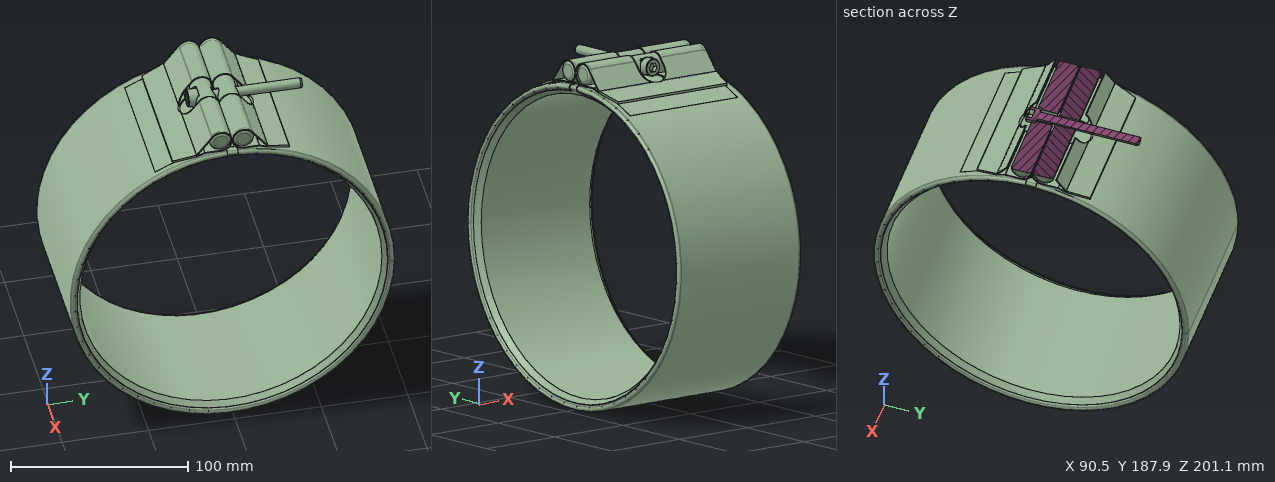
import cadquery as cq
import math


sheet = 0.5
width = 90.5
bore_radius = 174.8 / 2
band_inner_radius = 186.9 / 2
band_radius = band_inner_radius + sheet

hem_radius = 1.8
hem_angle = math.radians(50)
hem_leg = 1.5

gap = 6.2
tongue_width = 79.0
tongue_start_y = 9.3
tongue_end_y = -43.9
tongue_clearance = 0.1
tongue_radius = band_inner_radius - tongue_clearance

rod_radius = 6.0
rod_y = 6.6
rod_z = 100.5
rod_fillet = 2.0
clamp_width = 86.5
lug_sheet = 0.6
loop_radius = rod_radius + lug_sheet

flange_angle = math.radians(19)
fold_y = 20.7
flange_end_y = 33.8
flange_end_width = 80.0
window_width = 18.5
window_overrun = 0.8

bolt_diameter = 5.8
bolt_tip_y = 49.7
tip_chamfer_length = 1.0
tip_chamfer_depth = 0.5
head_diameter = 10.0
head_height = 6.2
head_chamfer = 0.5
socket_flats = 5.0
socket_depth = 3.0
head_hole_diameter = 8.9
tail_hole_diameter = 7.0
spotface_diameter = 12.0
spotface_offset = 3.8
head_seat_y = -rod_y - spotface_offset

above_all = rod_z + 2 * loop_radius


def revolve_about_x(profile):
    return profile.close().revolve(360, (0, 0, 0), (1, 0, 0))


def block_x(points, length):
    """Prism along X, centred on X = 0, from (y, z) points."""
    return cq.Workplane("YZ").polyline(points).close().extrude(length / 2, both=True)


def cylinder_y(diameter, start_y, end_y):
    """Cylinder along Y at the height of the rods."""
    return (
        cq.Workplane("XZ", origin=(0, start_y, rod_z))
        .circle(diameter / 2)
        .extrude(start_y - end_y)
    )


def ring_sector(inner, outer, start_y, end_y):
    """Curved plate as wide as the tongue, cut radially at two Y positions on the band bore."""
    ring = cq.Workplane("YZ").circle(outer).circle(inner).extrude(tongue_width / 2, both=True)
    reach = above_all / band_inner_radius
    corners = [(y * reach, math.sqrt(band_inner_radius**2 - y**2) * reach) for y in (start_y, end_y)]
    return ring.intersect(block_x([(0, 0)] + corners, tongue_width))


hem_x = -width / 2 + hem_radius
hem_r = band_radius - hem_radius


def hem_point(radius, angle, along=0.0):
    """Point on the bend, `angle` beyond its outermost point, then `along` the straight leg."""
    x = hem_x - radius * math.cos(angle) + along * math.sin(angle)
    r = hem_r - radius * math.sin(angle) - along * math.cos(angle)
    return x, r


def mirrored(point):
    return -point[0], point[1]


inner_bend = hem_radius - sheet
bend_crown = hem_point(inner_bend, 0)
bend_end = hem_point(inner_bend, hem_angle)


def make_band():
    leg_inside = hem_point(inner_bend, hem_angle, hem_leg)
    leg_outside = hem_point(hem_radius, hem_angle, hem_leg)
    outer_crown = hem_point(hem_radius, 0)
    outer_end = hem_point(hem_radius, hem_angle)
    profile = (
        cq.Workplane("XY")
        .moveTo(hem_x, band_radius)
        .threePointArc(outer_crown, outer_end)
        .lineTo(*leg_outside)
        .lineTo(*leg_inside)
        .lineTo(*bend_end)
        .threePointArc(bend_crown, (hem_x, band_inner_radius))
        .lineTo(-hem_x, band_inner_radius)
        .threePointArc(mirrored(bend_crown), mirrored(bend_end))
        .lineTo(*mirrored(leg_inside))
        .lineTo(*mirrored(leg_outside))
        .lineTo(*mirrored(outer_end))
        .threePointArc(mirrored(outer_crown), (-hem_x, band_radius))
    )
    split = cq.Workplane("XY").box(width, gap, above_all, centered=(True, True, False))
    tongue = ring_sector(tongue_radius - sheet, tongue_radius, tongue_start_y, tongue_end_y)
    weld = ring_sector(tongue_radius - sheet, band_inner_radius, tongue_start_y, gap / 2)
    return revolve_about_x(profile).cut(split).union(tongue).union(weld)


def make_sleeve():
    cone_length = (bend_end[1] - bore_radius) / math.cos(hem_angle)
    cone_end = hem_point(inner_bend, hem_angle, cone_length)
    profile = (
        cq.Workplane("XY")
        .moveTo(hem_x, band_inner_radius)
        .threePointArc(bend_crown, bend_end)
        .lineTo(*cone_end)
        .lineTo(*mirrored(cone_end))
        .lineTo(*mirrored(bend_end))
        .threePointArc(mirrored(bend_crown), (-hem_x, band_inner_radius))
    )
    tongue_pocket = ring_sector(tongue_radius - sheet, band_inner_radius, tongue_start_y, tongue_end_y)
    return revolve_about_x(profile).cut(tongue_pocket)


def flange_z(distance, y):
    """Height at y of the flange plane that lies `distance` from the ring axis."""
    return (distance - y * math.sin(flange_angle)) / math.cos(flange_angle)


def flange_y(distance, z):
    return (distance - z * math.cos(flange_angle)) / math.sin(flange_angle)


def make_lug():
    """Lug on the +Y side: two flange sheets that part into a slope and a loop round the rod."""
    bottom = band_radius
    middle = bottom + lug_sheet
    top = middle + lug_sheet

    fold = (fold_y, flange_z(top, fold_y))
    dy = fold[0] - rod_y
    dz = fold[1] - rod_z
    normal_angle = math.atan2(dz, dy) + math.acos(loop_radius / math.hypot(dy, dz))
    normal = (math.cos(normal_angle), math.sin(normal_angle))
    slope_outside = (rod_y + loop_radius * normal[0], rod_z + loop_radius * normal[1])
    slope_inside = (rod_y + rod_radius * normal[0], rod_z + rod_radius * normal[1])

    slope_y = normal[0] * math.cos(flange_angle) - normal[1] * math.sin(flange_angle)
    inside_offset = rod_radius + rod_y * normal[0] + rod_z * normal[1]
    inside_y = (inside_offset * math.cos(flange_angle) - middle * normal[1]) / slope_y
    upper_sheet = block_x(
        [
            slope_outside,
            fold,
            (flange_end_y, flange_z(top, flange_end_y)),
            (flange_end_y, flange_z(middle, flange_end_y)),
            (inside_y, flange_z(middle, inside_y)),
            slope_inside,
        ],
        clamp_width,
    )

    level_bottom = rod_z - loop_radius
    level_top = level_bottom + lug_sheet
    lower_sheet = block_x(
        [
            (rod_y, level_bottom),
            (flange_y(bottom, level_bottom), level_bottom),
            (flange_end_y, flange_z(bottom, flange_end_y)),
            (flange_end_y, flange_z(middle, flange_end_y)),
            (flange_y(middle, level_top), level_top),
            (rod_y, level_top),
        ],
        clamp_width,
    )

    reach = 2 * loop_radius
    opening = block_x(
        [
            (rod_y, rod_z),
            (rod_y, rod_z - reach),
            (rod_y + reach, rod_z - reach),
            (rod_y + reach * normal[0], rod_z + reach * normal[1]),
        ],
        clamp_width,
    )
    loop = (
        cq.Workplane("YZ")
        .center(rod_y, rod_z)
        .circle(loop_radius)
        .circle(rod_radius)
        .extrude(clamp_width / 2, both=True)
        .cut(opening)
    )
    lug = loop.union(upper_sheet).union(lower_sheet)
    return lug.intersect(lug_outline()).cut(bolt_window(fold, normal))


def lug_outline():
    """Outline from above: straight sides that taper beyond the fold."""
    half = clamp_width / 2
    half_end = flange_end_width / 2
    return (
        cq.Workplane("XY")
        .polyline(
            [
                (-half, 0),
                (half, 0),
                (half, fold_y),
                (half_end, flange_end_y),
                (-half_end, flange_end_y),
                (-half, fold_y),
            ]
        )
        .close()
        .extrude(above_all)
    )


def bolt_window(fold, normal):
    """Slot square to the slope, with a round lower end just past the fold."""
    half = window_width / 2
    reach = 4 * loop_radius
    slope = cq.Plane(origin=(0, *fold), xDir=(1, 0, 0), normal=(0, *normal))
    return (
        cq.Workplane(slope)
        .moveTo(-half, -reach)
        .lineTo(half, -reach)
        .lineTo(half, window_overrun - half)
        .threePointArc((0, window_overrun), (-half, window_overrun - half))
        .close()
        .extrude(reach, both=True)
    )


def make_rod(y):
    return (
        cq.Workplane("YZ", origin=(-clamp_width / 2, y, rod_z))
        .circle(rod_radius)
        .extrude(clamp_width)
        .faces("<X or >X")
        .edges()
        .fillet(rod_fillet)
    )


def make_head_rod():
    """Rod on the head side, with a through hole and a spotface for the bolt head."""
    outside_y = -rod_y - loop_radius
    hole = cylinder_y(head_hole_diameter, 0, outside_y)
    spotface = cylinder_y(spotface_diameter, head_seat_y, outside_y)
    return make_rod(-rod_y).cut(hole).cut(spotface)


def make_tail_rod():
    """Rod that the free end of the bolt passes through."""
    return make_rod(rod_y).cut(cylinder_y(tail_hole_diameter, bolt_tip_y, 0))


def make_bolt():
    tip_radius = bolt_diameter / 2 - tip_chamfer_depth
    head_end_y = head_seat_y - head_height
    profile = [
        (0, head_end_y),
        (head_diameter / 2 - head_chamfer, head_end_y),
        (head_diameter / 2, head_end_y + head_chamfer),
        (head_diameter / 2, head_seat_y),
        (bolt_diameter / 2, head_seat_y),
        (bolt_diameter / 2, bolt_tip_y - tip_chamfer_length),
        (tip_radius, bolt_tip_y),
        (0, bolt_tip_y),
    ]
    body = (
        cq.Workplane("XY", origin=(0, 0, rod_z))
        .polyline(profile)
        .close()
        .revolve(360, (0, 0, 0), (0, 1, 0))
    )
    socket_corners = socket_flats / math.cos(math.radians(30))
    socket = (
        cq.Workplane("XZ", origin=(0, head_end_y, rod_z))
        .polygon(6, socket_corners)
        .extrude(-socket_depth)
    )
    return body.cut(socket)


band = make_band()
sleeve = make_sleeve()
far_lug = make_lug()
lugs = [far_lug, far_lug.mirror("XZ")]
head_rod = make_head_rod()
tail_rod = make_tail_rod()
bolt = make_bolt()

result = cq.Compound.makeCompound(
    [
        band.val(),
        sleeve.val(),
        *[lug.val() for lug in lugs],
        head_rod.val(),
        tail_rod.val(),
        bolt.val(),
    ]
)